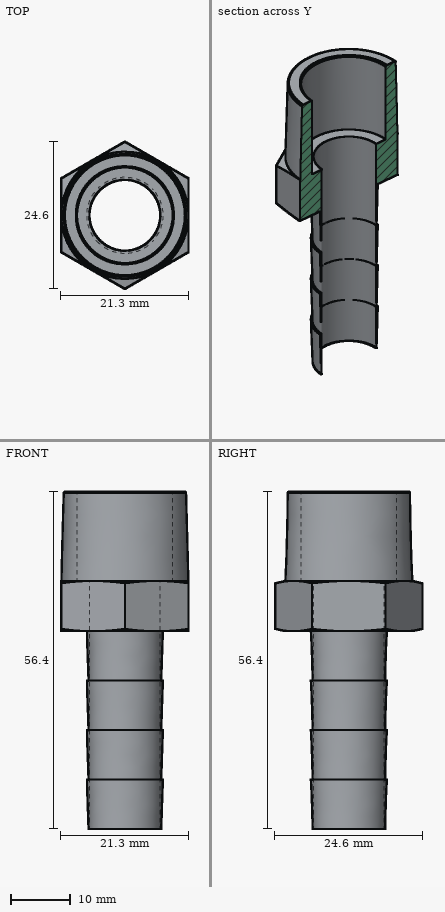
import cadquery as cq
import math

total_height = 56.4
hex_bottom = 33.05
hex_height = 8.4
hex_top = hex_bottom + hex_height

barb_count = 4
barb_pitch = hex_bottom / barb_count
barb_small_diameter = 12.2
barb_large_diameter = 12.75

across_flats = 21.3
hex_chamfer_drop = 0.4

thread_base_diameter = 21.25
thread_tip_diameter = 20.45
thread_tip_chamfer = 0.2

through_bore_diameter = 11.8
wide_bore_diameter = 15.95
wide_bore_bottom = hex_top
wide_bore_chamfer = 0.2


def frustum(bottom_diameter, top_diameter, bottom, top):
    """Cone section about Z between two heights."""
    return (
        cq.Workplane("XZ")
        .moveTo(0, bottom)
        .lineTo(bottom_diameter / 2, bottom)
        .lineTo(top_diameter / 2, top)
        .lineTo(0, top)
        .close()
        .revolve(360, (0, 0), (0, 1))
    )


def hose_tail():
    """Stack of barbs, each widening upwards towards the hexagon."""
    tail = frustum(barb_small_diameter, barb_large_diameter, 0, barb_pitch)
    for index in range(1, barb_count):
        bottom = index * barb_pitch
        barb = frustum(barb_small_diameter, barb_large_diameter, bottom, bottom + barb_pitch)
        tail = tail.union(barb)
    return tail


def hexagon():
    """Hexagon with corners on the Y axis, its corners chamfered at both ends."""
    corner_diameter = across_flats / math.cos(math.radians(30))
    prism = (
        cq.Workplane("XY")
        .workplane(offset=hex_bottom)
        .polygon(6, corner_diameter)
        .extrude(hex_height)
        .rotate((0, 0, 0), (0, 0, 1), 30)
    )
    cone_diameter = 2 * corner_diameter - across_flats
    lower_edge = hex_bottom + 2 * hex_chamfer_drop
    upper_edge = hex_top - 2 * hex_chamfer_drop
    envelope = (
        frustum(across_flats, cone_diameter, hex_bottom, lower_edge)
        .union(frustum(cone_diameter, cone_diameter, lower_edge, upper_edge))
        .union(frustum(cone_diameter, across_flats, upper_edge, hex_top))
    )
    return prism.intersect(envelope)


def threaded_end():
    """Tapered cylinder with a chamfered rim."""
    cone = frustum(thread_base_diameter, thread_tip_diameter, hex_top, total_height)
    return cone.faces(">Z").edges().chamfer(thread_tip_chamfer)


def bores():
    """Through bore, wider bore in the threaded end and its mouth chamfer."""
    mouth_diameter = wide_bore_diameter + 2 * wide_bore_chamfer
    mouth_bottom = total_height - wide_bore_chamfer
    through_bore = frustum(through_bore_diameter, through_bore_diameter, 0, total_height)
    wide_bore = frustum(wide_bore_diameter, wide_bore_diameter, wide_bore_bottom, total_height)
    mouth = frustum(wide_bore_diameter, mouth_diameter, mouth_bottom, total_height)
    return through_bore.union(wide_bore).union(mouth)


result = hose_tail().union(hexagon()).union(threaded_end()).cut(bores())